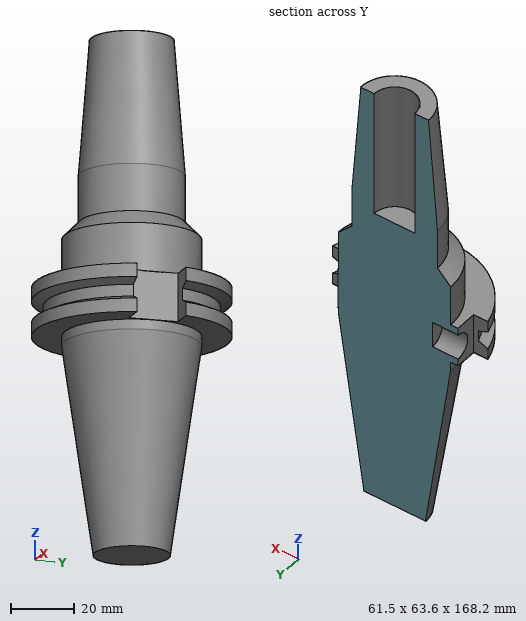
import cadquery as cq

total_length = 168.2

gauge_diameter = 44.5
shank_length = 68.3
taper_ratio = 7 / 24
shank_end_diameter = gauge_diameter - taper_ratio * shank_length

flange_diameter = 63.6
flange_gap = 3.2
flange_thickness = 15.8
flange_bottom = shank_length + flange_gap
flange_top = flange_bottom + flange_thickness
flange_middle = (flange_bottom + flange_top) / 2
groove_diameter = 56.2
groove_mouth_width = 7.0
groove_floor_width = 3.9

slot_width = 16.3
slot_floor_left = 25.0
slot_floor_right = 22.5

side_hole_diameter = 10.0
side_hole_depth = 10.1

shoulder_diameter = gauge_diameter
shoulder_top = 103.1
collar_diameter = 34.0
collar_bottom = shoulder_top + (shoulder_diameter - collar_diameter) / 2
nose_length = 44.5
nose_bottom = total_length - nose_length
nose_end_diameter = 27.0

bore_diameter = 16.0
bore_depth = 50.0


def make_body():
    """Solid of revolution about Z, given as (diameter, height) from bottom to top."""
    stations = [
        (0, 0),
        (shank_end_diameter, 0),
        (gauge_diameter, shank_length),
        (gauge_diameter, flange_bottom),
        (flange_diameter, flange_bottom),
        (flange_diameter, flange_middle - groove_mouth_width / 2),
        (groove_diameter, flange_middle - groove_floor_width / 2),
        (groove_diameter, flange_middle + groove_floor_width / 2),
        (flange_diameter, flange_middle + groove_mouth_width / 2),
        (flange_diameter, flange_top),
        (shoulder_diameter, flange_top),
        (shoulder_diameter, shoulder_top),
        (collar_diameter, collar_bottom),
        (collar_diameter, nose_bottom),
        (nose_end_diameter, total_length),
        (0, total_length),
    ]
    profile = [(diameter / 2, height) for diameter, height in stations]
    return cq.Workplane("XZ").polyline(profile).close().revolve(360, (0, 0), (0, 1))


def make_slot(side, floor_distance):
    """Drive slot cutter reaching outward from its floor; side is -1 or +1 along X."""
    slot_reach = flange_diameter / 2
    return (
        cq.Workplane("XY")
        .box(slot_reach, slot_width, flange_thickness)
        .translate((side * (floor_distance + slot_reach / 2), 0, flange_middle))
    )


def make_side_hole():
    """Cutter running along +X from the floor of the -X slot."""
    return (
        cq.Workplane("YZ", origin=(-slot_floor_left, 0, flange_middle))
        .circle(side_hole_diameter / 2)
        .extrude(side_hole_depth)
    )


def make_bore():
    """Cutter running down from the end of the nose."""
    return (
        cq.Workplane("XY", origin=(0, 0, total_length))
        .circle(bore_diameter / 2)
        .extrude(-bore_depth)
    )


result = (
    make_body()
    .cut(make_slot(-1, slot_floor_left))
    .cut(make_slot(1, slot_floor_right))
    .cut(make_side_hole())
    .cut(make_bore())
)